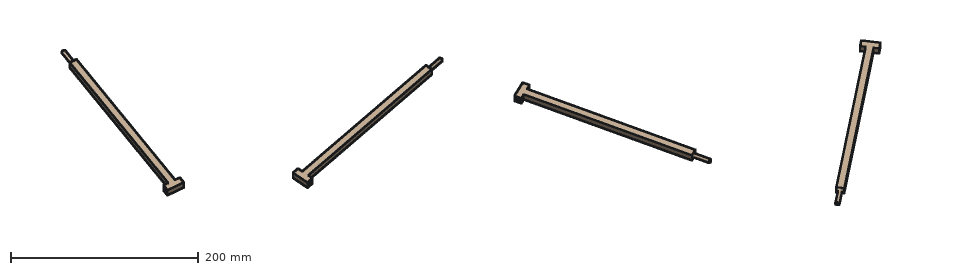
import cadquery as cq

total_length = 227.0
head_width = 20.7
bar_side = 8.6

pin_length = 20.0
head_length = 8.2

pin_diameter = 4.8
pin_chamfer = 1.0
root_fillet = 1.8
hole_diameter = 3.9
hole_from_end = head_length / 2

pin_radius = pin_diameter / 2


def make_bar():
    """Square bar from the pin shoulder to the far end, centred on the X axis."""
    bar_length = total_length - pin_length
    return (
        cq.Workplane("XY")
        .box(bar_length, bar_side, bar_side, centered=(False, True, True))
        .translate((pin_length, 0, 0))
    )


def make_head():
    """Cross head of the T, as thick as the bar."""
    return (
        cq.Workplane("XY")
        .box(head_length, head_width, bar_side, centered=(False, True, True))
        .translate((total_length - head_length, 0, 0))
    )


def make_pin():
    """Round pin with a chamfered tip and a concave fillet at the shoulder."""
    fillet_middle = root_fillet * (1 - 0.5 ** 0.5)
    return (
        cq.Workplane("XY")
        .lineTo(0, pin_radius - pin_chamfer)
        .lineTo(pin_chamfer, pin_radius)
        .lineTo(pin_length - root_fillet, pin_radius)
        .threePointArc(
            (pin_length - fillet_middle, pin_radius + fillet_middle),
            (pin_length, pin_radius + root_fillet),
        )
        .lineTo(pin_length, 0)
        .close()
        .revolve(360, (0, 0, 0), (1, 0, 0))
    )


def make_cross_hole():
    """Cutter for the hole running through the head along Y."""
    return (
        cq.Workplane("XZ")
        .center(total_length - hole_from_end, 0)
        .circle(hole_diameter / 2)
        .extrude(head_width / 2, both=True)
    )


result = make_bar().union(make_head()).union(make_pin()).cut(make_cross_hole())